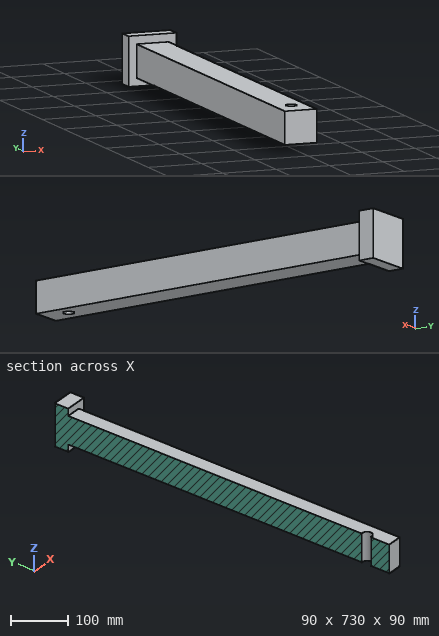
import cadquery as cq

total_length = 730.0
head_side = 90.0
head_thickness = 30.0
bar_side = 60.0
hole_diameter = 20.0
hole_from_tip = 50.5
hole_offset = 2.0

bar_length = total_length - head_thickness

bar = cq.Workplane("XY").box(bar_side, bar_length, bar_side, centered=(True, False, True))

head = (
    cq.Workplane("XY")
    .box(head_side, head_thickness, head_side, centered=(True, False, True))
    .translate((0, bar_length, 0))
)

pin_hole = (
    cq.Workplane("XY")
    .center(hole_offset, hole_from_tip)
    .circle(hole_diameter / 2)
    .extrude(bar_side, both=True)
)

result = bar.union(head).cut(pin_hole)